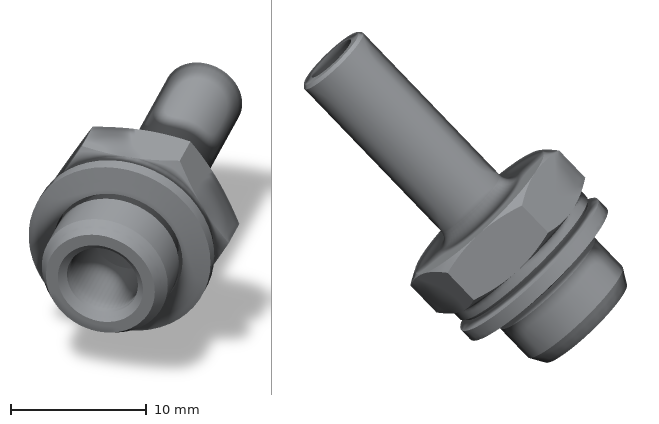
import cadquery as cq
import math

length = 27.5
tube_radius = 3.0
tube_root_fillet = 1.0
edge_chamfer = 0.25

hex_across_flats = 13.0
hex_start = 7.5
hex_end = 11.5
hex_chamfer_angle = 30.0
collar_radius = hex_across_flats / 2
collar_start = 6.5

thread_radius = 4.85
thread_end = 4.15
tip_radius = 4.18
tip_length = 1.15
groove_flank_angle = 53.0
groove_flank_length = 0.25
groove_fillet = 1.0

bore_radius = 2.0
counterbore_radius = 2.72
counterbore_depth = 6.88
counterbore_cone_angle = 59.0
mouth_radius = 3.27
mouth_depth = 0.55

ring_outer_radius = 6.98
ring_inner_radius = 4.95
ring_thickness = 1.82
ring_rim_thickness = 1.02


def revolve_about_y(profile):
    """Turn a closed profile drawn in the XY plane about the Y axis."""
    return profile.close().revolve(360, (0, 0, 0), (0, 1, 0))


def make_threaded_stub():
    """Stub with a tapered tip, a relief groove and the collar."""
    flank = math.radians(groove_flank_angle)
    flank_radius = thread_radius - groove_flank_length * math.tan(flank)
    flank_end = thread_end + groove_flank_length
    neck_radius = flank_radius - groove_fillet * (1 - math.cos(flank))
    neck_start = flank_end + groove_fillet * math.sin(flank)
    arc_center_radius = neck_radius + groove_fillet
    arc_mid = (
        arc_center_radius - groove_fillet * math.cos(flank / 2),
        neck_start - groove_fillet * math.sin(flank / 2),
    )
    profile = (
        cq.Workplane("XY")
        .lineTo(tip_radius, 0)
        .lineTo(thread_radius, tip_length)
        .lineTo(thread_radius, thread_end)
        .lineTo(flank_radius, flank_end)
        .threePointArc(arc_mid, (neck_radius, neck_start))
        .lineTo(neck_radius, collar_start)
        .lineTo(collar_radius - edge_chamfer, collar_start)
        .lineTo(collar_radius, collar_start + edge_chamfer)
        .lineTo(collar_radius, hex_start)
        .lineTo(0, hex_start)
    )
    return revolve_about_y(profile)


def make_hexagon():
    """Hexagon with corners on the X axis, chamfered at both ends."""
    corner_radius = collar_radius / math.cos(math.pi / 6)
    chamfer_height = (corner_radius - collar_radius) * math.tan(math.radians(hex_chamfer_angle))
    prism = (
        cq.Workplane("XZ", origin=(0, hex_start, 0))
        .polygon(6, 2 * corner_radius)
        .extrude(hex_start - hex_end)
    )
    chamfer_envelope = revolve_about_y(
        cq.Workplane("XY")
        .moveTo(0, hex_start)
        .lineTo(collar_radius, hex_start)
        .lineTo(corner_radius, hex_start + chamfer_height)
        .lineTo(corner_radius, hex_end - chamfer_height)
        .lineTo(collar_radius, hex_end)
        .lineTo(0, hex_end)
    )
    return prism.intersect(chamfer_envelope)


def make_tube():
    """Plain tube stub with a filleted root and a chamfered end."""
    arc_offset = tube_root_fillet * (1 - math.sqrt(0.5))
    profile = (
        cq.Workplane("XY")
        .moveTo(0, hex_end)
        .lineTo(tube_radius + tube_root_fillet, hex_end)
        .threePointArc(
            (tube_radius + arc_offset, hex_end + arc_offset),
            (tube_radius, hex_end + tube_root_fillet),
        )
        .lineTo(tube_radius, length - edge_chamfer)
        .lineTo(tube_radius - edge_chamfer, length)
        .lineTo(0, length)
    )
    return revolve_about_y(profile)


def make_bore():
    """Through bore with a drilled counterbore and a flared mouth."""
    cone_height = (counterbore_radius - bore_radius) / math.tan(math.radians(counterbore_cone_angle))
    profile = (
        cq.Workplane("XY")
        .lineTo(mouth_radius, 0)
        .lineTo(counterbore_radius, mouth_depth)
        .lineTo(counterbore_radius, counterbore_depth)
        .lineTo(bore_radius, counterbore_depth + cone_height)
        .lineTo(bore_radius, length)
        .lineTo(0, length)
    )
    return revolve_about_y(profile)


def make_fitting():
    """One-piece body: threaded stub, hexagon and tube, bored through."""
    return make_threaded_stub().union(make_hexagon()).union(make_tube()).cut(make_bore())


def make_sealing_ring():
    """Loose ring with a cylindrical rim and two conical faces."""
    ring_start = collar_start - ring_thickness
    cone_height = (ring_thickness - ring_rim_thickness) / 2
    profile = (
        cq.Workplane("XY")
        .moveTo(ring_inner_radius, ring_start)
        .lineTo(ring_outer_radius, ring_start + cone_height)
        .lineTo(ring_outer_radius, collar_start - cone_height)
        .lineTo(ring_inner_radius, collar_start)
    )
    return revolve_about_y(profile)


fitting = make_fitting()
sealing_ring = make_sealing_ring()
result = cq.Compound.makeCompound([fitting.val(), sealing_ring.val()])